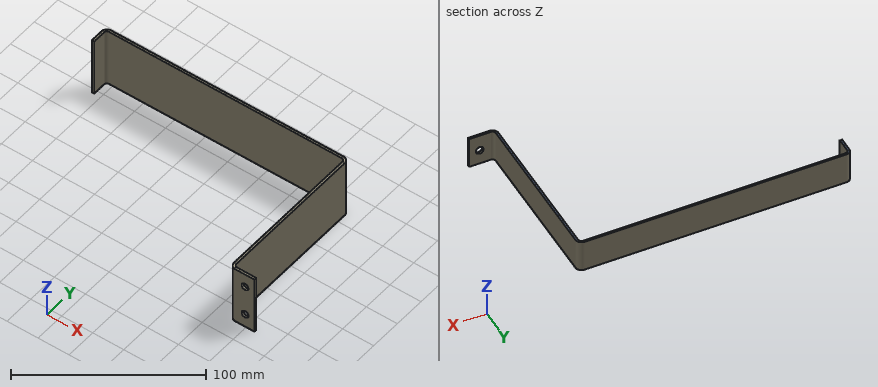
import cadquery as cq

length = 171.0
depth = 98.4
height = 38.0

thickness = 1.5
outer_bend_radius = 3.5
inner_bend_radius = outer_bend_radius - thickness
lip_length = 11.6
arm_outer_x = 156.9
arm_inner_x = arm_outer_x - thickness

hole_diameter = 4.5
hole_spacing = 20.0
hole_x = 165.0


def bent_strip():
    """Sheet of constant thickness: lip, long back, arm and foot, seen along Z."""
    strip = (
        cq.Workplane("XY")
        .moveTo(0, depth - lip_length)
        .lineTo(0, depth)
        .lineTo(arm_outer_x, depth)
        .lineTo(arm_outer_x, thickness)
        .lineTo(length, thickness)
        .lineTo(length, 0)
        .lineTo(arm_inner_x, 0)
        .lineTo(arm_inner_x, depth - thickness)
        .lineTo(thickness, depth - thickness)
        .lineTo(thickness, depth - lip_length)
        .close()
        .extrude(height)
    )
    outer_corners = [(0, depth), (arm_outer_x, depth), (arm_inner_x, 0)]
    inner_corners = [
        (thickness, depth - thickness),
        (arm_inner_x, depth - thickness),
        (arm_outer_x, thickness),
    ]
    strip = round_corners(strip, outer_corners, outer_bend_radius)
    return round_corners(strip, inner_corners, inner_bend_radius)


def round_corners(body, corners, radius):
    """Fillet the upright edge nearest to each (x, y) corner."""
    for x, y in corners:
        nearest = cq.selectors.NearestToPointSelector((x, y, height / 2))
        body = body.edges("|Z").edges(nearest).fillet(radius)
    return body


def foot_holes():
    """Pair of pins, centred on the height, that pierce the foot along Y."""
    offset = hole_spacing / 2
    return (
        cq.Workplane("XZ", origin=(hole_x, thickness, height / 2))
        .pushPoints([(0, -offset), (0, offset)])
        .circle(hole_diameter / 2)
        .extrude(thickness)
    )


result = bent_strip().cut(foot_holes())